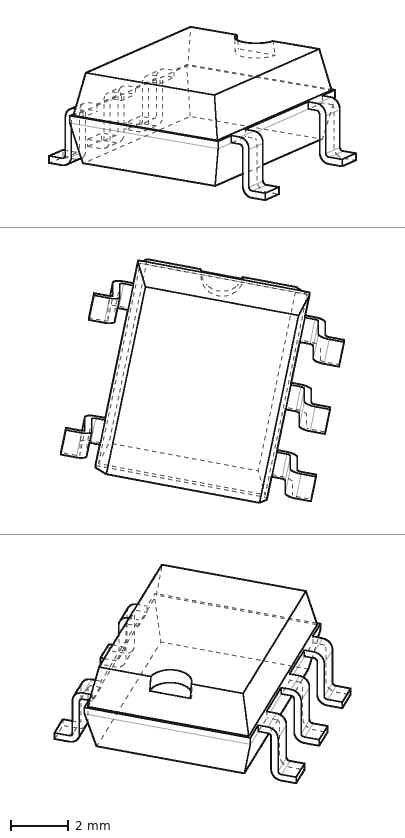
import cadquery as cq

body_width = 6.14
body_length = 7.74
body_bottom = 0.385
rim_bottom = 1.89
rim_top = 2.15
body_top = 3.68
upper_step = 0.09
upper_taper = 0.31
lower_taper = 0.33

lead_span = 8.95
lead_thickness = rim_top - rim_bottom
lead_width = 0.93
lead_pitch = 2.54
shank_outer_x = 3.8
bend_inner_radius = 0.125
bend_outer_radius = bend_inner_radius + lead_thickness
lead_embed = 0.18

notch_radius = 0.75
notch_center_y = 3.55
notch_depth = 0.54


def tapered_block(width, length, base_z, end_z, taper):
    """Rectangular frustum from base_z to end_z, leaning in by taper on every side."""
    return (
        cq.Workplane("XY", origin=(0, 0, base_z))
        .rect(width, length)
        .workplane(offset=end_z - base_z)
        .rect(width - 2 * taper, length - 2 * taper)
        .loft(ruled=True)
    )


def make_body():
    rim = (
        cq.Workplane("XY", origin=(0, 0, rim_bottom))
        .rect(body_width, body_length)
        .extrude(rim_top - rim_bottom)
    )
    upper_width = body_width - 2 * upper_step
    upper_length = body_length - 2 * upper_step
    upper = tapered_block(upper_width, upper_length, rim_top, body_top, upper_taper)
    lower = tapered_block(body_width, body_length, rim_bottom, body_bottom, lower_taper)
    notch = (
        cq.Workplane("XY", origin=(0, notch_center_y, body_top - notch_depth))
        .circle(notch_radius)
        .extrude(notch_depth)
    )
    return rim.union(upper).union(lower).cut(notch)


def make_right_lead(center_y):
    """Lead leaving the +X side, centred on center_y."""
    root_x = body_width / 2 - lead_embed
    shank_inner_x = shank_outer_x - lead_thickness
    tip_x = lead_span / 2
    lead = (
        cq.Workplane("XZ", origin=(0, center_y, 0))
        .moveTo(root_x, rim_top)
        .lineTo(shank_outer_x, rim_top)
        .lineTo(shank_outer_x, lead_thickness)
        .lineTo(tip_x, lead_thickness)
        .lineTo(tip_x, 0)
        .lineTo(shank_inner_x, 0)
        .lineTo(shank_inner_x, rim_bottom)
        .lineTo(root_x, rim_bottom)
        .close()
        .extrude(lead_width / 2, both=True)
    )
    outer_corners = [(shank_outer_x, rim_top), (shank_inner_x, 0)]
    inner_corners = [(shank_inner_x, rim_bottom), (shank_outer_x, lead_thickness)]
    for corners, radius in (
        (outer_corners, bend_outer_radius),
        (inner_corners, bend_inner_radius),
    ):
        for x, z in corners:
            corner_edge = cq.selectors.NearestToPointSelector((x, center_y, z))
            lead = lead.edges("|Y").edges(corner_edge).fillet(radius)
    return lead


result = make_body()
for row in (-1, 0, 1):
    lead = make_right_lead(row * lead_pitch)
    result = result.union(lead.mirror("YZ"))
    if row != 0:
        result = result.union(lead)